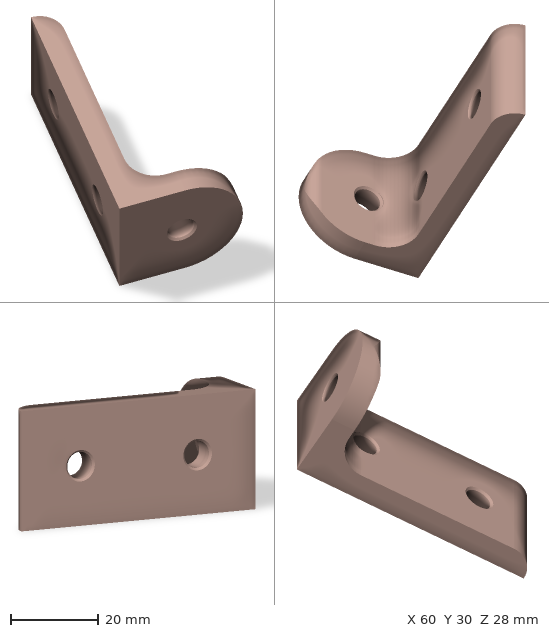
import cadquery as cq

length = 60.0
depth = 30.0
height = 27.95
thickness = 6.0

toe_radius = thickness
inner_radius = 7.5
tip_radius = 3.0
end_radius = height / 2

hole_diameter = 6.3
hole_mouth_diameter = 7.3
chamfer = (hole_mouth_diameter - hole_diameter) / 2
hole_offset = 15.2
hole_spacing = length / 2
long_leg_holes_x = (hole_offset, hole_offset + hole_spacing)
short_leg_hole_y = hole_offset

mid_height = height / 2
leg_face_x = length - thickness


def l_profile():
    """L section with rounded toe, inner corner and tip, extruded upward."""
    return (
        cq.Workplane("XY")
        .lineTo(length, 0)
        .lineTo(length, depth)
        .lineTo(leg_face_x + tip_radius, depth)
        .radiusArc((leg_face_x, depth - tip_radius), -tip_radius)
        .lineTo(leg_face_x, thickness + inner_radius)
        .radiusArc((leg_face_x - inner_radius, thickness), inner_radius)
        .lineTo(toe_radius, thickness)
        .radiusArc((0, 0), -toe_radius)
        .close()
        .extrude(height)
    )


def end_envelope():
    """Side outline along X that gives the short leg its half-round end."""
    straight = depth - end_radius
    return (
        cq.Workplane("YZ")
        .lineTo(straight, 0)
        .threePointArc((depth, mid_height), (straight, height))
        .lineTo(0, height)
        .close()
        .extrude(length)
    )


def hole_cutter(face_point, direction):
    """Straight hole through one leg, chamfered at the face_point mouth and the opposite one."""
    start = cq.Vector(*face_point)
    axis = cq.Vector(*direction)
    mouth_radius = hole_mouth_diameter / 2
    hole_radius = hole_diameter / 2
    far_face = start + axis * thickness
    bore = cq.Solid.makeCylinder(hole_radius, thickness, start, axis)
    near_cone = cq.Solid.makeCone(mouth_radius, hole_radius, chamfer, start, axis)
    far_cone = cq.Solid.makeCone(mouth_radius, hole_radius, chamfer, far_face, axis * -1)
    far_clearance = cq.Solid.makeCylinder(mouth_radius, chamfer, far_face, axis)
    return bore.fuse(near_cone, far_cone, far_clearance)


result = l_profile().intersect(end_envelope())
for hole_x in long_leg_holes_x:
    result = result.cut(hole_cutter((hole_x, 0, mid_height), (0, 1, 0)))
result = result.cut(hole_cutter((length, short_leg_hole_y, mid_height), (-1, 0, 0)))